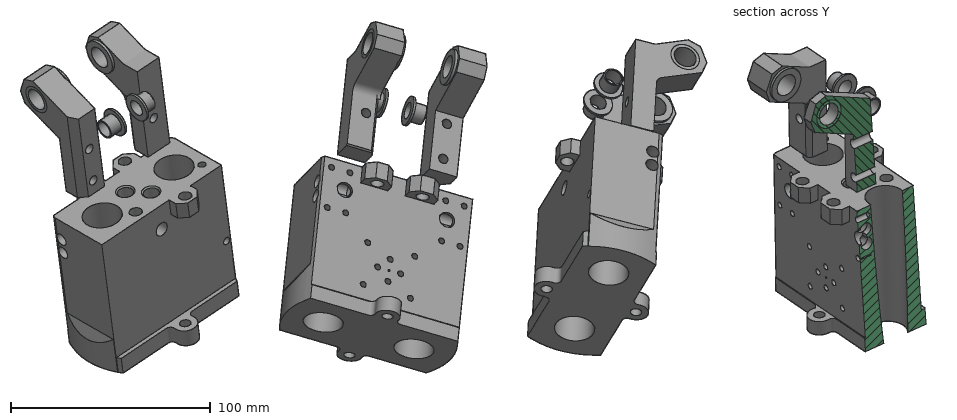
import cadquery as cq
import math

TILT_X = 3.9
TILT_Y = -4.2

DEPTH = 36.3
WIDTH = 83.0
HEIGHT = 81.7
HALF_WIDTH = WIDTH / 2

BORE_RADIUS = 10.1
BORE_X = 19.1
BORE_Y = 24.9

FOOT_FRONT_LIP = 0.5
FOOT_FRONT_HEIGHT = 8.0
FOOT_REAR_LIP = 2.4
FOOT_REAR_HEIGHT = 9.5
BULGE_RADIUS = 42.6
BULGE_REACH = 45.0
BULGE_MID_X = BORE_X
BULGE_TOP = 21.0
BULGE_BEVEL_ANGLE = 60.0

EDGE_BEVEL_SLOPE = 0.39
EDGE_BEVEL_ANGLE = math.atan(EDGE_BEVEL_SLOPE)
ARC_CENTRE_Y = BULGE_REACH - BULGE_RADIUS
TANGENT_X = BULGE_MID_X - BULGE_RADIUS * math.sin(EDGE_BEVEL_ANGLE)
TANGENT_Y = ARC_CENTRE_Y + BULGE_RADIUS * math.cos(EDGE_BEVEL_ANGLE)

TOP_LUG_REACH = 9.1
TOP_LUG_BEVEL = 4.3
LUG_ROOT_OVERLAP = 3.2
TOP_LUG_HEIGHT = 9.1
TOP_LUG_HOLE_SETBACK = 5.2
TOP_LUG_HOLE_RADIUS = 3.3
NARROW_LUG_WIDTH = 14.8
NARROW_LUG_Y = 12.6
WIDE_LUG_WIDTH = 15.8
WIDE_LUG_Y = -12.3
FOOT_LUG_RADIUS = 6.3
FOOT_LUG_HOLE_RADIUS = 2.8
FOOT_LUG_FILLET = 2.7
FRONT_FOOT_LUG_X = -4.5
REAR_FOOT_LUG_X = 43.0

PORT_RADIUS = 4.1
PORT_Y = 28.0
PORT_Z = 66.0
DRILL_POINT_ANGLE = 118.0
SIDE_HOLE_DEPTH = 17.7
SIDE_HOLE_RADIUS = 3.3
SIDE_HOLE_X = 4.9
SIDE_HOLE_HEIGHTS = (60.9, 69.2)
SCREW_RADIUS = 1.5
SCREW_DEPTH = 7.1
SCREW_Y = (26.3, 36.5)
SCREW_Z = (53.5, 76.5)
PATTERN_Z = 28.5
PATTERN_SQUARE_Y = 13.0
PATTERN_SQUARE_Z = 12.0
PATTERN_CROSS = 6.3
CENTRE_MARK_RADIUS = 0.5
CENTRE_MARK_DEPTH = 1.5
TOP_PORT_RADIUS = 4.1
TOP_PORT_BEVEL = 0.8
TOP_PORT_DEPTH = 71.0
FRONT_CHANNEL_PORT = (14.0, -4.1)
TOP_PORTS = ((24.5, 4.0), FRONT_CHANNEL_PORT)
TOP_HOLE_DEPTH = 12.6
TOP_PLAIN_HOLES = ((28.4, 35.5, 2.0), (30.1, -12.1, 3.3))
REAR_PORT = (-1.9, 67.3)
REAR_PORT_RADIUS = 3.8
REAR_PORT_DEPTH = 28.4
REAR_SCREW = (38.6, 34.9)
REAR_SCREW_RADIUS = 2.0

ARM_MID_Y = -1.18
ARM_GAP = 30.1
ARM_THICKNESS = 15.1
LEG_FRONT = 1.03
LEG_REAR = 13.2
LEG_BOTTOM = 92.1
CROTCH_Z = 125.7
HEAD_POINTS = ((-22.7, 136.5), (-24.9, 143.3), (-21.0, 152.5), (-14.4, 154.7))
HEAD_SLOPE = 25.0
ARM_TOP_SHOULDER = 146.7
ARM_FILLET = 4.7
NEAR_ARM_BEVEL = 4.0
LEG_BEVEL_X = 2.8
LEG_BEVEL_Y = 1.9
LEG_END_BEVEL = 0.8
LEG_HOLE_RADIUS = 2.5
NEAR_LEG_HOLE_Y = -23.0
NEAR_LEG_HOLE_HEIGHTS = (100.0, 120.0)
FAR_LEG_HOLE_Y = 20.7
FAR_LEG_HOLE_HEIGHT = 112.9

PIVOT_X = -13.2
PIVOT_Z = 143.5
PIVOT_OUTER = 7.5
PIVOT_INNER = 5.8
PIVOT_FLANGE_RADIUS = 9.3
PIVOT_FLANGE = 1.5

SLEEVE_X = 19.0
SLEEVE_Z = 131.4
SLEEVE_OUTER = 5.0
SLEEVE_INNER = 4.3
SLEEVE_FLANGE_RADIUS = 7.5
SLEEVE_FLANGE = 1.18
SLEEVE_LENGTH = 8.2
SLEEVE_GAP = 14.0


def rod(radius, start, axis, length):
    """Cylinder of the given length from the start point along the axis."""
    return cq.Workplane(obj=cq.Solid.makeCylinder(radius, length, cq.Vector(*start), cq.Vector(*axis)))


def drill(radius, start, axis, depth):
    """Blind drilled hole: a cylinder ending in a conical drill point."""
    direction = cq.Vector(*axis)
    point_height = radius / math.tan(math.radians(DRILL_POINT_ANGLE / 2))
    bottom = cq.Vector(*start) + direction * depth
    point = cq.Solid.makeCone(radius, 0, point_height, bottom, direction)
    return rod(radius, start, axis, depth).union(cq.Workplane(obj=point))


def edge_bevel_y(x):
    """Half width at x of the planes that bevel the front edges."""
    return TANGENT_Y - (TANGENT_X - x) * EDGE_BEVEL_SLOPE


def bulged_slab(x0, x1, height):
    """Slab between x0 and x1 whose y ends are arcs running tangent into the front bevels."""
    front_y = edge_bevel_y(x0)
    rear_y = ARC_CENTRE_Y + math.sqrt(BULGE_RADIUS ** 2 - (x1 - BULGE_MID_X) ** 2)
    return (
        cq.Workplane("XY")
        .moveTo(x0, -front_y)
        .lineTo(TANGENT_X, -TANGENT_Y)
        .threePointArc((BULGE_MID_X, -BULGE_REACH), (x1, -rear_y))
        .lineTo(x1, rear_y)
        .threePointArc((BULGE_MID_X, BULGE_REACH), (TANGENT_X, TANGENT_Y))
        .lineTo(x0, front_y)
        .close()
        .extrude(height)
    )


def block():
    """Main block with its two front upright edges bevelled."""
    front_y = edge_bevel_y(0)
    bevel_end_x = (HALF_WIDTH - front_y) / EDGE_BEVEL_SLOPE
    return (
        cq.Workplane("XY")
        .polyline([
            (0, -front_y),
            (bevel_end_x, -HALF_WIDTH),
            (DEPTH, -HALF_WIDTH),
            (DEPTH, HALF_WIDTH),
            (bevel_end_x, HALF_WIDTH),
            (0, front_y),
        ])
        .close()
        .extrude(HEIGHT)
    )


def foot():
    """Bulged lower ends with a sloping top, plus the low lips at front and rear."""
    bevel_drop = (BULGE_REACH - HALF_WIDTH) * math.tan(math.radians(BULGE_BEVEL_ANGLE))
    side_profile = (
        cq.Workplane("YZ")
        .polyline([
            (-BULGE_REACH, 0),
            (BULGE_REACH, 0),
            (BULGE_REACH, BULGE_TOP - bevel_drop),
            (HALF_WIDTH, BULGE_TOP),
            (-HALF_WIDTH, BULGE_TOP),
            (-BULGE_REACH, BULGE_TOP - bevel_drop),
        ])
        .close()
        .extrude(DEPTH)
    )
    bulge = bulged_slab(0, DEPTH, BULGE_TOP).intersect(side_profile)
    front_lip = bulged_slab(-FOOT_FRONT_LIP, DEPTH, FOOT_FRONT_HEIGHT)
    rear_lip = bulged_slab(0, DEPTH + FOOT_REAR_LIP, FOOT_REAR_HEIGHT)
    return bulge.union(front_lip).union(rear_lip)


def top_lug(face_x, outward, y, width):
    """Eight-sided lug flush with the top; outward is +1 or -1 along x."""
    half = width / 2
    shoulder = face_x + outward * (TOP_LUG_REACH - TOP_LUG_BEVEL)
    tip = face_x + outward * TOP_LUG_REACH
    root = face_x - outward * LUG_ROOT_OVERLAP
    return (
        cq.Workplane("XY")
        .workplane(offset=HEIGHT - TOP_LUG_HEIGHT)
        .polyline([
            (root, y - half),
            (shoulder, y - half),
            (tip, y - half + TOP_LUG_BEVEL),
            (tip, y + half - TOP_LUG_BEVEL),
            (shoulder, y + half),
            (root, y + half),
        ])
        .close()
        .extrude(TOP_LUG_HEIGHT)
    )


def foot_lug(centre_x, face_x, height):
    """Round-ended lug on the foot with filleted roots."""
    outward = math.copysign(1, centre_x - face_x)
    root = face_x - outward * LUG_ROOT_OVERLAP
    fillet_x = face_x + outward * FOOT_LUG_FILLET
    wide = FOOT_LUG_RADIUS + FOOT_LUG_FILLET
    mid = FOOT_LUG_FILLET * (1 - math.sqrt(0.5))
    return (
        cq.Workplane("XY")
        .moveTo(root, -wide)
        .lineTo(face_x, -wide)
        .threePointArc((face_x + outward * mid, -FOOT_LUG_RADIUS - mid), (fillet_x, -FOOT_LUG_RADIUS))
        .lineTo(centre_x, -FOOT_LUG_RADIUS)
        .threePointArc((centre_x + outward * FOOT_LUG_RADIUS, 0), (centre_x, FOOT_LUG_RADIUS))
        .lineTo(fillet_x, FOOT_LUG_RADIUS)
        .threePointArc((face_x + outward * mid, FOOT_LUG_RADIUS + mid), (face_x, wide))
        .lineTo(root, wide)
        .close()
        .extrude(height)
    )


def front_screw_points():
    """(y, z) of every small hole in the front face."""
    corners = [(side * y, z) for side in (-1, 1) for y in SCREW_Y for z in SCREW_Z]
    square = [
        (sy * PATTERN_SQUARE_Y, PATTERN_Z + sz * PATTERN_SQUARE_Z) for sy in (-1, 1) for sz in (-1, 1)
    ]
    cross = [
        (0, PATTERN_Z + PATTERN_CROSS),
        (0, PATTERN_Z - PATTERN_CROSS),
        (PATTERN_CROSS, PATTERN_Z),
        (-PATTERN_CROSS, PATTERN_Z),
    ]
    return corners + square + cross


def housing_cutters():
    cutters = []
    for side in (-1, 1):
        cutters.append(rod(BORE_RADIUS, (BORE_X, side * BORE_Y, 0), (0, 0, 1), HEIGHT))
        cutters.append(rod(PORT_RADIUS, (0, side * PORT_Y, PORT_Z), (1, 0, 0), SIDE_HOLE_X))
        for z in SIDE_HOLE_HEIGHTS:
            start = (SIDE_HOLE_X, side * HALF_WIDTH, z)
            cutters.append(drill(SIDE_HOLE_RADIUS, start, (0, -side, 0), SIDE_HOLE_DEPTH))
    for y, z in front_screw_points():
        cutters.append(drill(SCREW_RADIUS, (0, y, z), (1, 0, 0), SCREW_DEPTH))
    channel_start = (0, -PATTERN_CROSS, PATTERN_Z)
    cutters.append(rod(SCREW_RADIUS, channel_start, (1, 0, 0), FRONT_CHANNEL_PORT[0]))
    cutters.append(rod(CENTRE_MARK_RADIUS, (0, 0, PATTERN_Z), (1, 0, 0), CENTRE_MARK_DEPTH))
    for x, y in TOP_PORTS:
        cutters.append(drill(TOP_PORT_RADIUS, (x, y, HEIGHT), (0, 0, -1), TOP_PORT_DEPTH))
        mouth = cq.Solid.makeCone(
            TOP_PORT_RADIUS, TOP_PORT_RADIUS + TOP_PORT_BEVEL, TOP_PORT_BEVEL,
            cq.Vector(x, y, HEIGHT - TOP_PORT_BEVEL),
        )
        cutters.append(cq.Workplane(obj=mouth))
    for x, y, radius in TOP_PLAIN_HOLES:
        cutters.append(drill(radius, (x, y, HEIGHT), (0, 0, -1), TOP_HOLE_DEPTH))
    cutters.append(drill(REAR_PORT_RADIUS, (DEPTH, *REAR_PORT), (-1, 0, 0), REAR_PORT_DEPTH))
    cutters.append(drill(REAR_SCREW_RADIUS, (DEPTH, *REAR_SCREW), (-1, 0, 0), SCREW_DEPTH))
    return cutters


def make_housing():
    body = block().union(foot())
    top_lugs = [
        (0, -1, WIDE_LUG_Y, WIDE_LUG_WIDTH),
        (0, -1, NARROW_LUG_Y, NARROW_LUG_WIDTH),
        (DEPTH, 1, NARROW_LUG_Y, NARROW_LUG_WIDTH),
    ]
    for face_x, outward, y, width in top_lugs:
        hole_x = face_x + outward * (TOP_LUG_REACH - TOP_LUG_HOLE_SETBACK)
        body = body.union(top_lug(face_x, outward, y, width))
        body = body.cut(rod(TOP_LUG_HOLE_RADIUS, (hole_x, y, HEIGHT), (0, 0, -1), TOP_LUG_HEIGHT))
    foot_lugs = [
        (FRONT_FOOT_LUG_X, -FOOT_FRONT_LIP, FOOT_FRONT_HEIGHT),
        (REAR_FOOT_LUG_X, DEPTH + FOOT_REAR_LIP, FOOT_REAR_HEIGHT),
    ]
    for centre_x, face_x, height in foot_lugs:
        body = body.union(foot_lug(centre_x, face_x, height))
        body = body.cut(rod(FOOT_LUG_HOLE_RADIUS, (centre_x, 0, 0), (0, 0, 1), height))
    for cutter in housing_cutters():
        body = body.cut(cutter)
    return body


def arm_blank(inner_y, outward, top_points):
    """Leg and sloping head extruded outward from inner_y, with the bushing bore."""
    leg_front = [(LEG_FRONT, LEG_BOTTOM), (LEG_FRONT, CROTCH_Z)]
    leg_rear = [(LEG_REAR, LEG_BOTTOM)]
    profile = leg_front + list(HEAD_POINTS) + top_points + leg_rear
    blank = cq.Workplane("XZ", origin=(0, inner_y, 0)).polyline(profile).close()
    blank = blank.extrude(-outward * ARM_THICKNESS)
    return blank.cut(rod(PIVOT_OUTER, (PIVOT_X, inner_y, PIVOT_Z), (0, outward, 0), ARM_THICKNESS))


def drill_leg(arm, y, z):
    return arm.cut(rod(LEG_HOLE_RADIUS, (LEG_FRONT, y, z), (1, 0, 0), LEG_REAR - LEG_FRONT))


def make_near_arm():
    """Arm on the -y side: straight sloping top and a bevelled outer rear edge."""
    tip_x, tip_z = HEAD_POINTS[-1]
    rear_top = tip_z - (LEG_REAR - tip_x) * math.tan(math.radians(HEAD_SLOPE))
    inner_y = ARM_MID_Y - ARM_GAP / 2
    arm = arm_blank(inner_y, -1, [(LEG_REAR, rear_top)])
    arm = arm.edges("|Z and >X and <Y").chamfer(NEAR_ARM_BEVEL)
    for z in NEAR_LEG_HOLE_HEIGHTS:
        arm = drill_leg(arm, NEAR_LEG_HOLE_Y, z)
    return arm


def make_far_arm():
    """Arm on the +y side: level shoulder on top, filleted bends and a bevelled leg."""
    tip_x, tip_z = HEAD_POINTS[-1]
    bend_x = tip_x + (tip_z - ARM_TOP_SHOULDER) / math.tan(math.radians(HEAD_SLOPE))
    inner_y = ARM_MID_Y + ARM_GAP / 2
    arm = arm_blank(inner_y, 1, [(bend_x, ARM_TOP_SHOULDER), (LEG_REAR, ARM_TOP_SHOULDER)])
    for x, z in ((bend_x, ARM_TOP_SHOULDER), (LEG_FRONT, CROTCH_Z)):
        bend = cq.selectors.NearestToPointSelector((x, inner_y + ARM_THICKNESS / 2, z))
        arm = arm.edges(bend).fillet(ARM_FILLET)
    end_bevel = (
        cq.Workplane("XZ", origin=(0, inner_y, 0))
        .polyline([
            (LEG_FRONT, LEG_BOTTOM),
            (LEG_FRONT + LEG_END_BEVEL, LEG_BOTTOM),
            (LEG_FRONT, LEG_BOTTOM + LEG_END_BEVEL),
        ])
        .close()
        .extrude(-ARM_THICKNESS)
    )
    edge_bevel = (
        cq.Workplane("XY", origin=(0, 0, LEG_BOTTOM))
        .polyline([
            (LEG_FRONT, inner_y),
            (LEG_FRONT + LEG_BEVEL_X, inner_y),
            (LEG_FRONT, inner_y + LEG_BEVEL_Y),
        ])
        .close()
        .extrude(CROTCH_Z - LEG_BOTTOM)
    )
    return drill_leg(arm.cut(end_bevel).cut(edge_bevel), FAR_LEG_HOLE_Y, FAR_LEG_HOLE_HEIGHT)


def flanged_bushing(x, face_y, z, outward, outer, inner, flange_radius, flange, sleeve):
    """Bushing along y: the sleeve runs outward from face_y, the flange sits on the other side."""
    body = rod(outer, (x, face_y, z), (0, outward, 0), sleeve)
    rim = rod(flange_radius, (x, face_y, z), (0, -outward, 0), flange)
    hole = rod(inner, (x, face_y - outward * flange, z), (0, outward, 0), flange + sleeve)
    return body.union(rim).cut(hole)


def make_pivot_bushing(side):
    """Bushing pressed into an arm head from the inner side."""
    return flanged_bushing(
        PIVOT_X, ARM_MID_Y + side * ARM_GAP / 2, PIVOT_Z, side,
        PIVOT_OUTER, PIVOT_INNER, PIVOT_FLANGE_RADIUS, PIVOT_FLANGE, ARM_THICKNESS,
    )


def make_sleeve_bushing(side):
    """Loose flanged bushing behind an arm, flange facing inward."""
    return flanged_bushing(
        SLEEVE_X, ARM_MID_Y + side * (SLEEVE_GAP / 2 + SLEEVE_FLANGE), SLEEVE_Z, side,
        SLEEVE_OUTER, SLEEVE_INNER, SLEEVE_FLANGE_RADIUS, SLEEVE_FLANGE, SLEEVE_LENGTH - SLEEVE_FLANGE,
    )


def tilted(body):
    return body.rotate((0, 0, 0), (1, 0, 0), TILT_X).rotate((0, 0, 0), (0, 1, 0), TILT_Y)


bodies = [make_housing(), make_near_arm(), make_far_arm()]
for side in (-1, 1):
    bodies.append(make_pivot_bushing(side))
    bodies.append(make_sleeve_bushing(side))

result = cq.Compound.makeCompound([tilted(body).solids().val() for body in bodies])